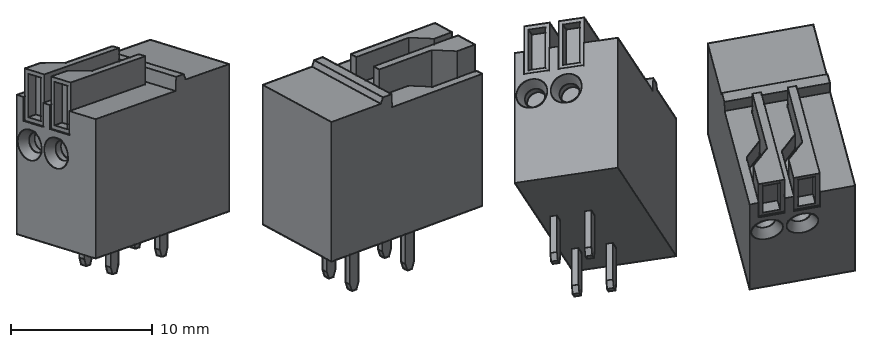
import cadquery as cq


TOTAL_HEIGHT = 16.0

WIDTH = 7.62
DEPTH = 13.8
LEDGE_HEIGHT = 10.4
BACK_HEIGHT = 11.0
CREST_HEIGHT = 11.44
RIB_FRONT_FOOT_Y = 8.24
RIB_FRONT_CREST_Y = 8.3
RIB_BACK_CREST_Y = 9.09
RIB_BACK_FOOT_Y = 9.28

POLE_COUNT = 2
POLE_PITCH = 2.55

LEVER_X = 0.65
LEVER_WIDTH = 1.89
LEVER_BLADE = 0.62
LEVER_FRONT_Y = 0.13
LEVER_BACK_Y = 7.84
LEVER_BOTTOM = 8.6
LEVER_TOP = 12.5
LEVER_SLANT_Y = 1.76
LEVER_WALL = 0.32
LEVER_POCKET_DEPTH = 0.8

SLOT_SLANT_Y = 4.0
SLOT_SIDE_GAP = 0.05

ENTRY_X = 1.26
ENTRY_Z = 6.96
ENTRY_OUTER_DIAMETER = 2.29
ENTRY_BORE_DIAMETER = 1.47
ENTRY_CONE_DEPTH = 0.72
ENTRY_TOTAL_DEPTH = 1.28

PIN_X = 1.15
PIN_FRONT_Y = 5.89
PIN_ROW_COUNT = 2
PIN_ROW_PITCH = 5.07
PIN_THICKNESS = 0.5
PIN_WIDTH = 0.8
PIN_TIP_WIDTH = 0.42
PIN_LENGTH = TOTAL_HEIGHT - LEVER_TOP
PIN_TIP_LENGTH = 0.58


def stepped_block(front_y, slant_y, blade):
    """Block from a wide front, slanting at 45 degrees into a narrow blade on its +X side."""
    right = LEVER_X + LEVER_WIDTH
    blade_left = right - blade
    slant_end_y = slant_y + LEVER_WIDTH - blade
    return (
        cq.Workplane("XY", origin=(0, 0, LEVER_BOTTOM))
        .moveTo(LEVER_X, front_y)
        .lineTo(right, front_y)
        .lineTo(right, LEVER_BACK_Y)
        .lineTo(blade_left, LEVER_BACK_Y)
        .lineTo(blade_left, slant_end_y)
        .lineTo(LEVER_X, slant_y)
        .close()
        .extrude(LEVER_TOP - LEVER_BOTTOM)
    )


def make_lever():
    """Lever of the first pole, with a rectangular pocket in its front."""
    pocket = cq.Workplane("XY").box(
        LEVER_WIDTH - 2 * LEVER_WALL,
        LEVER_POCKET_DEPTH,
        LEVER_TOP - LEVER_BOTTOM - 2 * LEVER_WALL,
        centered=False,
    ).translate((LEVER_X + LEVER_WALL, LEVER_FRONT_Y, LEVER_BOTTOM + LEVER_WALL))
    return stepped_block(LEVER_FRONT_Y, LEVER_SLANT_Y, LEVER_BLADE).cut(pocket)


def make_entry():
    """Funnel and bore of the first pole's wire entry, as a revolved cutter."""
    outer_radius = ENTRY_OUTER_DIAMETER / 2
    bore_radius = ENTRY_BORE_DIAMETER / 2
    return (
        cq.Workplane("XY")
        .lineTo(outer_radius, 0)
        .lineTo(bore_radius, ENTRY_CONE_DEPTH)
        .lineTo(bore_radius, ENTRY_TOTAL_DEPTH)
        .lineTo(0, ENTRY_TOTAL_DEPTH)
        .close()
        .revolve(360, (0, 0, 0), (0, 1, 0))
        .translate((ENTRY_X, 0, ENTRY_Z))
    )


def make_pin(x, y):
    """Flat solder pin below the housing, with a tip tapered across its width."""
    half_width = PIN_WIDTH / 2
    half_tip = PIN_TIP_WIDTH / 2
    taper_z = PIN_TIP_LENGTH - PIN_LENGTH
    return (
        cq.Workplane("YZ")
        .polyline([
            (-half_width, 0),
            (-half_width, taper_z),
            (-half_tip, -PIN_LENGTH),
            (half_tip, -PIN_LENGTH),
            (half_width, taper_z),
            (half_width, 0),
        ])
        .close()
        .extrude(PIN_THICKNESS / 2, both=True)
        .translate((x, y, 0))
    )


def make_housing():
    """Housing with its top rib, lever slots, wire entries and fixed solder pins."""
    housing = (
        cq.Workplane("YZ")
        .polyline([
            (0, 0),
            (DEPTH, 0),
            (DEPTH, BACK_HEIGHT),
            (RIB_BACK_FOOT_Y, BACK_HEIGHT),
            (RIB_BACK_CREST_Y, CREST_HEIGHT),
            (RIB_FRONT_CREST_Y, CREST_HEIGHT),
            (RIB_FRONT_FOOT_Y, LEDGE_HEIGHT),
            (0, LEDGE_HEIGHT),
        ])
        .close()
        .extrude(WIDTH)
    )
    slot = stepped_block(0, SLOT_SLANT_Y, LEVER_BLADE + SLOT_SIDE_GAP)
    entry = make_entry()
    for pole in range(POLE_COUNT):
        offset = pole * POLE_PITCH
        housing = housing.cut(slot.translate((offset, 0, 0)))
        housing = housing.cut(entry.translate((offset, 0, 0)))
        for row in range(PIN_ROW_COUNT):
            pin = make_pin(PIN_X + offset, PIN_FRONT_Y + row * PIN_ROW_PITCH)
            housing = housing.union(pin)
    return housing


housing = make_housing()
lever = make_lever()
levers = [lever.translate((pole * POLE_PITCH, 0, 0)).val() for pole in range(POLE_COUNT)]

result = cq.Compound.makeCompound([housing.val(), *levers])